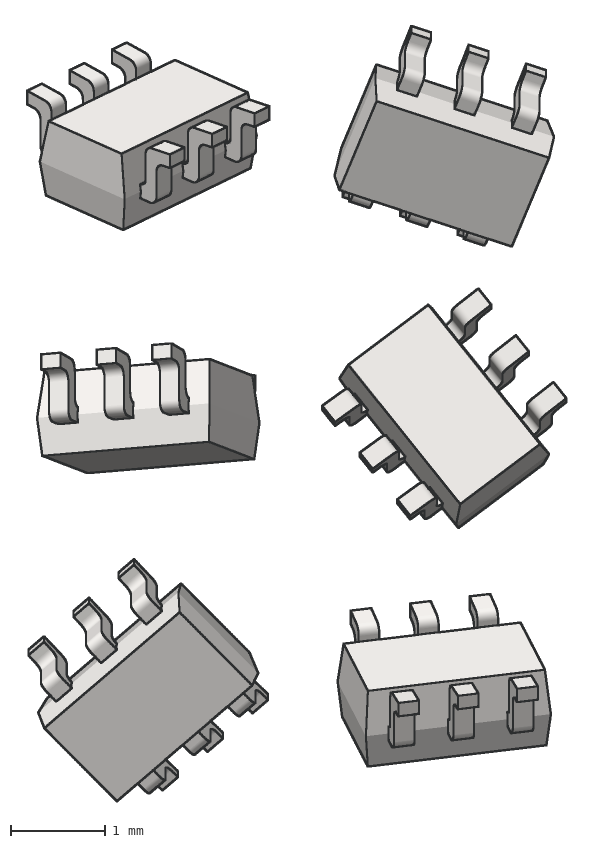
import math

import cadquery as cq

body_width = 1.25
body_length = 2.024
body_height = 0.9
parting_height = 0.4
upper_side_draft = 10.0
lower_side_draft = 8.0
end_draft = 5.0

overall_width = 2.1
overall_height = 1.0
leads_per_side = 3
lead_pitch = 0.65
lead_width = 0.226
lead_thickness = 0.162
lead_bottom = 0.317
shank_outer_x = 0.855
foot_slope = 5.0
bend_radius = 0.1
lead_embed = 0.1


def tapered_outline(plane, size, upper_draft, lower_draft):
    """Six-sided body section, widest at the parting plane."""
    half = size / 2
    upper_rise = body_height - parting_height
    half_top = half - upper_rise * math.tan(math.radians(upper_draft))
    half_bottom = half - parting_height * math.tan(math.radians(lower_draft))
    return cq.Workplane(plane).polyline([
        (-half_bottom, 0),
        (half_bottom, 0),
        (half, parting_height),
        (half_top, body_height),
        (-half_top, body_height),
        (-half, parting_height),
    ]).close()


def make_body():
    """Body common to the X-Z section run along Y and the Y-Z section run along X."""
    side_prism = tapered_outline("XZ", body_width, upper_side_draft, lower_side_draft)
    end_prism = tapered_outline("YZ", body_length, end_draft, end_draft)
    return side_prism.extrude(body_length / 2, both=True).intersect(
        end_prism.extrude(body_width / 2, both=True)
    )


def make_lead():
    """One lead on the +X side, centred on Y = 0."""
    slope = math.tan(math.radians(foot_slope))
    tip_x = overall_width / 2
    root_x = body_width / 2 - lead_embed
    shank_inner_x = shank_outer_x - lead_thickness
    lead_top = lead_bottom + lead_thickness
    tip_depth = lead_thickness / math.cos(math.radians(foot_slope))
    tip_bottom = overall_height - tip_depth

    bends = [
        (shank_outer_x, lead_bottom),
        (shank_outer_x, tip_bottom - (tip_x - shank_outer_x) * slope),
        (shank_inner_x, overall_height - (tip_x - shank_inner_x) * slope),
        (shank_inner_x, lead_top),
    ]
    lead = (
        cq.Workplane("XZ")
        .polyline([
            (root_x, lead_bottom),
            bends[0],
            bends[1],
            (tip_x, tip_bottom),
            (tip_x, overall_height),
            bends[2],
            bends[3],
            (root_x, lead_top),
        ])
        .close()
        .extrude(lead_width / 2, both=True)
    )
    for x, z in bends:
        bend_edge = cq.selectors.NearestToPointSelector((x, 0, z))
        lead = lead.edges("|Y").edges(bend_edge).fillet(bend_radius)
    return lead


def make_part():
    """Body with a row of leads on each long side."""
    part = make_body()
    lead = make_lead()
    opposite_lead = lead.mirror("YZ")
    for index in range(leads_per_side):
        y = (index - (leads_per_side - 1) / 2) * lead_pitch
        part = part.union(lead.translate((0, y, 0)))
        part = part.union(opposite_lead.translate((0, y, 0)))
    return part


result = make_part()